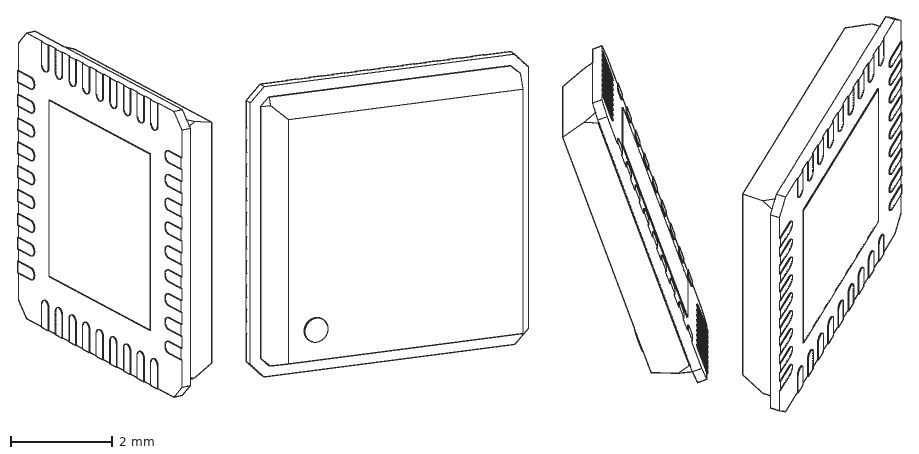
import cadquery as cq

plate_side = 6.0
plate_chamfer = 0.3
plate_thickness = 0.2

contact_height = 0.02
leads_per_side = 9
pitches_per_plate_side = 12
lead_pitch = plate_side / pitches_per_plate_side
lead_width = 0.245
lead_length = 0.6
thermal_pad_side = 3.7

cap_inset = 0.22
cap_top_inset = 0.475
cap_foot_height = 0.03
cap_height = 0.805
cap_corner_cut = 0.175

mark_diameter = 0.5
mark_x = 1.945
mark_z = -1.885

overall_height = 1.07
plate_front_y = contact_height
plate_back_y = plate_front_y + plate_thickness
cap_top_y = plate_back_y + cap_height


def sketch_plane(y):
    """Plane parallel to XZ at the given Y, with its normal along +Y and its local Y along -Z."""
    return cq.Workplane(cq.Plane(origin=(0, y, 0), xDir=(1, 0, 0), normal=(0, 1, 0)))


def make_plate():
    """Square plate with chamfered corners."""
    return (
        sketch_plane(plate_front_y)
        .rect(plate_side, plate_side)
        .extrude(plate_thickness)
        .edges("|Y")
        .chamfer(plate_chamfer)
    )


def make_cap():
    """Cap with a straight foot, tapered walls and upright corner cuts."""
    foot_side = plate_side - 2 * cap_inset
    top_side = plate_side - 2 * cap_top_inset
    foot = sketch_plane(plate_back_y).rect(foot_side, foot_side).extrude(cap_foot_height)
    tapered_block = (
        sketch_plane(plate_back_y + cap_foot_height)
        .rect(foot_side, foot_side)
        .workplane(offset=cap_height - cap_foot_height)
        .rect(top_side, top_side)
        .loft(ruled=True)
    )
    corner_envelope = (
        sketch_plane(plate_back_y)
        .rect(foot_side, foot_side)
        .extrude(cap_height)
        .edges("|Y")
        .chamfer(cap_corner_cut)
    )
    return foot.union(tapered_block).intersect(corner_envelope)


def make_thermal_pad():
    """Square pad in the middle of the front face."""
    return sketch_plane(0).rect(thermal_pad_side, thermal_pad_side).extrude(plate_back_y)


def make_lead():
    """Lead on the -Z side, flush with the plate edge and fully rounded at its inner end."""
    half_width = lead_width / 2
    outer_end = plate_side / 2
    inner_end = outer_end - lead_length
    round_start = inner_end + half_width
    return (
        sketch_plane(0)
        .moveTo(-half_width, outer_end)
        .lineTo(-half_width, round_start)
        .threePointArc((0, inner_end), (half_width, round_start))
        .lineTo(half_width, outer_end)
        .close()
        .extrude(plate_back_y)
    )


def make_package():
    """Plate, cap and contacts as one solid; the leads keep their seams on the plate edges."""
    package = make_plate().union(make_cap()).union(make_thermal_pad())
    lead = make_lead()
    first_lead_x = -lead_pitch * (leads_per_side - 1) / 2
    for side in range(4):
        for index in range(leads_per_side):
            lead_x = first_lead_x + index * lead_pitch
            placed_lead = lead.translate((lead_x, 0, 0)).rotate((0, 0, 0), (0, 1, 0), 90 * side)
            package = package.union(placed_lead, clean=False)
    return package


def make_orientation_mark():
    """Thin disc lying on the top of the cap, near its +X, -Z corner."""
    return (
        sketch_plane(cap_top_y)
        .center(mark_x, -mark_z)
        .circle(mark_diameter / 2)
        .extrude(overall_height - cap_top_y)
    )


package = make_package()
orientation_mark = make_orientation_mark()

result = cq.Compound.makeCompound([package.solids().val(), orientation_mark.val()])